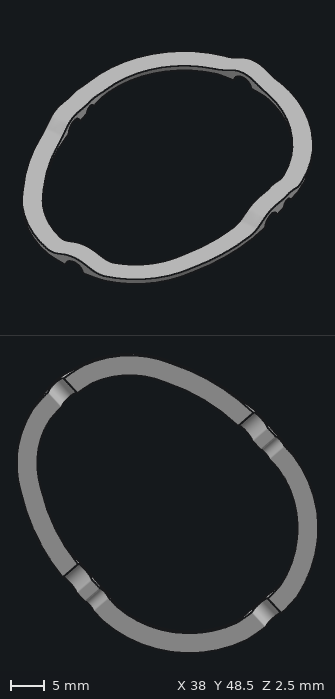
import cadquery as cq
import math

length = 48.5
width = 38.0
band_width = 3.05
thickness = 1.0
half_length = length / 2
half_width = width / 2
side_straight = 7.3

notch_radius = 1.5
small_notch_radius = 0.85
small_notch_y = 4.35
notch_lip_radius = 0.25
crest_height = notch_radius + thickness
shoulder_height = small_notch_radius + thickness
hump_run = 5.0
shoulder_run = 8.4

cap_half_width = hump_run
upper_cap_drop = 0.4
lower_cap_drop = 0.5
upper_cap_end = (cap_half_width, half_length - upper_cap_drop)
lower_cap_end = (cap_half_width, lower_cap_drop - half_length)
upper_cap_middle = (cap_half_width / 2, half_length - upper_cap_drop / 4)
lower_cap_middle = (cap_half_width / 2, lower_cap_drop / 4 - half_length)
upper_corner_middle = (13.7, 18.75)
lower_flank_middle = (17.95, -7.95)
lower_flank_end = (15.05, -15.15)
lower_corner_middle = (10.95, -20.5)


def band_prism(height):
    """Egg-shaped band of constant width, raised from Z = 0."""
    outline = (
        cq.Workplane("XY")
        .moveTo(0, half_length)
        .threePointArc(upper_cap_middle, upper_cap_end)
        .threePointArc(upper_corner_middle, (half_width, side_straight))
        .lineTo(half_width, 0)
        .threePointArc(lower_flank_middle, lower_flank_end)
        .threePointArc(lower_corner_middle, lower_cap_end)
        .threePointArc(lower_cap_middle, (0, -half_length))
        .mirrorY()
    )
    outer_wire = outline.wires().val()
    inner_wire = outer_wire.offset2D(-band_width)[0]
    face = cq.Face.makeFromWires(outer_wire, [inner_wire])
    return cq.Workplane("XY").add(cq.Solid.extrudeLinear(face, cq.Vector(0, 0, height)))


def hump(plane, rising_knots, falling_knots):
    """Long bar whose top rises to a crest and falls again, level at every knot."""
    rising_ends = [(1, 0)] * len(rising_knots)
    falling_ends = [(1, 0)] * len(falling_knots)
    return (
        cq.Workplane(plane)
        .moveTo(rising_knots[0][0], 0)
        .lineTo(*rising_knots[0])
        .spline(rising_knots, tangents=rising_ends)
        .spline(falling_knots, tangents=falling_ends)
        .lineTo(falling_knots[-1][0], 0)
        .close()
        .extrude(length, both=True)
    )


def notch(plane, center, radius):
    """Half-round channel along the plane normal with rounded lower lips."""
    lip = notch_lip_radius
    lip_offset = math.sqrt((radius + lip) ** 2 - lip**2)
    touch_x = lip_offset * radius / (radius + lip)
    touch_z = lip * radius / (radius + lip)
    lip_middle = lip * math.sin(math.radians(45))
    return (
        cq.Workplane(plane)
        .center(center, 0)
        .moveTo(-lip_offset, 0)
        .threePointArc((-lip_offset + lip_middle, lip - lip_middle), (-touch_x, touch_z))
        .threePointArc((0, radius), (touch_x, touch_z))
        .threePointArc((lip_offset - lip_middle, lip - lip_middle), (lip_offset, 0))
        .close()
        .extrude(length, both=True)
    )


near_foot = (-hump_run, thickness)
crest = (0, crest_height)
shoulder = (small_notch_y, shoulder_height)
end_humps = hump("XZ", [near_foot, crest], [crest, (hump_run, thickness)])
side_humps = hump("YZ", [near_foot, crest], [crest, shoulder, (shoulder_run, thickness)])
slab = cq.Workplane("XY").rect(2 * length, 2 * length).extrude(thickness)

result = (
    slab.union(end_humps)
    .union(side_humps)
    .intersect(band_prism(crest_height))
    .cut(notch("XZ", 0, notch_radius))
    .cut(notch("YZ", 0, notch_radius))
    .cut(notch("YZ", small_notch_y, small_notch_radius))
)